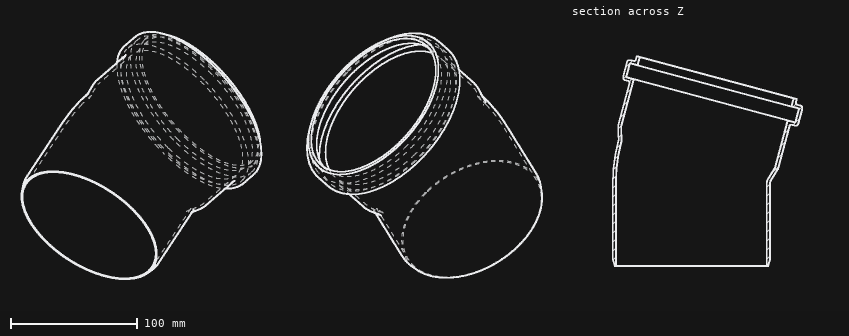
import cadquery as cq
import math

BEND_ANGLE = 15.0
WALL = 2.75
SPIGOT_RADIUS = 125.2 / 2
SPIGOT_LENGTH = 66.2
TIP_LENGTH = 5.3
TIP_DEPTH = 1.7
BEND_RADIUS = 63.7

SOCKET_RADIUS = 131.8 / 2
BEAD_RADIUS = 144.3 / 2
NECK_END = 1.2
CONE_END = 12.2
BEAD_START = 48.3
BEAD_END = 65.2
SOCKET_END = 69.3
BEAD_FILLET = 2.5
ROOT_FILLET = 1.0
TOLERANCE = 0.02


def revolve_profile(points):
    """Solid of revolution about Y from (radius, station) points."""
    profile = cq.Workplane("XY").polyline(points).close()
    return profile.revolve(360, (0, 0, 0), (0, 1, 0))


def cylinder(radius, start, end):
    """Cylinder along Y between two stations."""
    return revolve_profile([(0, start), (radius, start), (radius, end), (0, end)])


def place_on_bend_end(solid):
    """Move a body built along Y onto the outlet of the bend."""
    angle = math.radians(BEND_ANGLE)
    outlet_x = BEND_RADIUS * (1 - math.cos(angle))
    outlet_y = SPIGOT_LENGTH + BEND_RADIUS * math.sin(angle)
    tilted = solid.rotate((0, 0, 0), (0, 0, 1), -BEND_ANGLE)
    return tilted.translate((outlet_x, outlet_y, 0))


def make_spigot():
    outside = revolve_profile([
        (0, 0),
        (SPIGOT_RADIUS - TIP_DEPTH, 0),
        (SPIGOT_RADIUS, TIP_LENGTH),
        (SPIGOT_RADIUS, SPIGOT_LENGTH),
        (0, SPIGOT_LENGTH),
    ])
    return outside.cut(cylinder(SPIGOT_RADIUS - WALL, 0, SPIGOT_LENGTH))


def make_bend():
    ring = cq.Workplane("XZ", origin=(0, SPIGOT_LENGTH, 0))
    ring = ring.circle(SPIGOT_RADIUS).circle(SPIGOT_RADIUS - WALL)
    return ring.revolve(BEND_ANGLE, (BEND_RADIUS, 1.7, 0), (BEND_RADIUS, 0, 0))


def socket_body(inset):
    """Solid socket envelope with its neck, tube and bead shrunk by the inset."""
    neck = SPIGOT_RADIUS - inset
    tube = SOCKET_RADIUS - inset
    body = revolve_profile([
        (0, 0),
        (neck, 0),
        (neck, NECK_END),
        (tube, CONE_END),
        (tube, SOCKET_END),
        (0, SOCKET_END),
    ])
    bead = cylinder(BEAD_RADIUS - inset, BEAD_START + inset, BEAD_END - inset)
    if inset == 0:
        bead = bead.edges().fillet(BEAD_FILLET)
    return body.union(bead)


def is_bead_root(edge):
    at_bead_face = any(
        math.isclose(edge.Center().y, station, abs_tol=TOLERANCE)
        for station in (BEAD_START, BEAD_END)
    )
    return at_bead_face and math.isclose(edge.radius(), SOCKET_RADIUS, abs_tol=TOLERANCE)


def make_socket():
    outside = socket_body(0)
    outside = outside.edges("%CIRCLE").filter(is_bead_root).fillet(ROOT_FILLET)
    return outside.cut(socket_body(WALL))


result = make_spigot().union(make_bend()).union(place_on_bend_end(make_socket()))